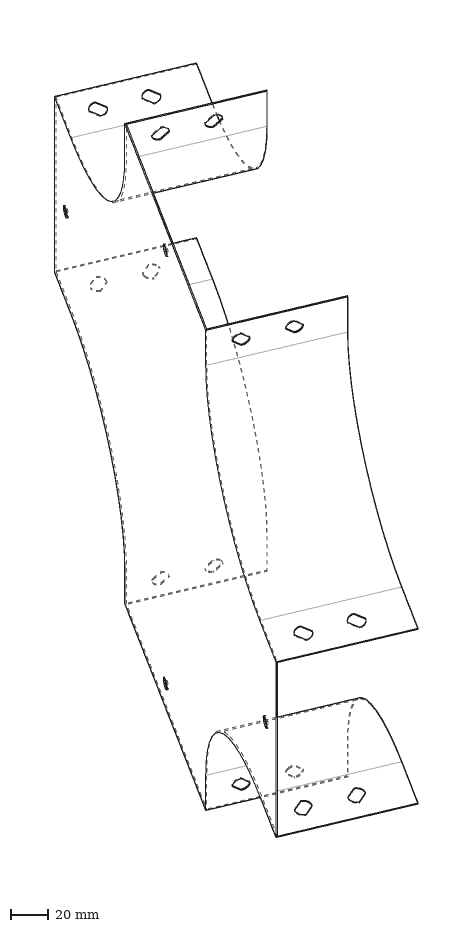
import cadquery as cq

SPAN = 410.0
DEPTH = 80.0
SHEET = 0.8

ARM_WIDTH = 150.0
TAB_LENGTH = 30.0

PLATE_HOLE_DIAMETER = 7.0
PLATE_HOLE_INSET = 20.0

TAB_HOLE_DIAMETER = 10.0
TAB_HOLE_FLATS = 7.0
TAB_HOLE_TILT = 45.0
TAB_HOLE_INSET = TAB_LENGTH / 2
TAB_HOLE_HEIGHTS = (20.0, 50.0)

TIP = SPAN / 2
WALL = ARM_WIDTH / 2
BEND_CENTRE = TIP - TAB_LENGTH
BEND_RADIUS = BEND_CENTRE - WALL
QUARTER_TURNS = (0, 90, 180, 270)


def turned(shape, angle):
    """Copy of a shape turned about the Y axis of the cross."""
    return shape.rotate((0, 0, 0), (0, 1, 0), angle)


def corner_block(growth=0.0):
    """Block filling the +X +Z corner between two arms, grown toward the middle of the cross."""
    wall = WALL - growth
    radius = BEND_RADIUS + growth
    arc_middle = BEND_CENTRE - radius * 0.5 ** 0.5
    return (
        cq.Workplane("XZ")
        .moveTo(TIP, wall)
        .lineTo(BEND_CENTRE, wall)
        .threePointArc((arc_middle, arc_middle), (wall, BEND_CENTRE))
        .lineTo(wall, TIP)
        .lineTo(TIP, TIP)
        .close()
        .extrude(-DEPTH)
    )


def base_plate():
    """Flat cross with one round hole near the tip of each arm."""
    plate = cq.Workplane("XZ").rect(SPAN, SPAN).extrude(-SHEET)
    corner = corner_block()
    hole = (
        cq.Workplane("XZ")
        .center(TIP - PLATE_HOLE_INSET, 0)
        .circle(PLATE_HOLE_DIAMETER / 2)
        .extrude(-SHEET)
    )
    for angle in QUARTER_TURNS:
        plate = plate.cut(turned(corner, angle))
        plate = plate.cut(turned(hole, angle))
    return plate


def tab_hole(plane, across, up, tilt):
    """Cutter for one tilted double-D hole, running from the given plane out past the wall."""
    place = cq.Workplane(plane).center(across, up).transformed(rotate=(0, 0, tilt))
    round_part = place.circle(TAB_HOLE_DIAMETER / 2).extrude(TIP)
    flat_part = place.rect(TAB_HOLE_DIAMETER, TAB_HOLE_FLATS).extrude(TIP)
    return round_part.intersect(flat_part)


def side_wall():
    """Curved wall around the +X +Z corner, with two double-D holes in each of its straight tabs."""
    wall = corner_block(SHEET).cut(corner_block())
    hole_place = TIP - TAB_HOLE_INSET
    for height in TAB_HOLE_HEIGHTS:
        wall = wall.cut(tab_hole("XY", hole_place, height, TAB_HOLE_TILT))
        wall = wall.cut(tab_hole("YZ", height, hole_place, -TAB_HOLE_TILT))
    return wall


def cross_piece():
    """Plate with the same side wall repeated in all four corners."""
    body = base_plate()
    wall = side_wall()
    for angle in QUARTER_TURNS:
        body = body.union(turned(wall, angle))
    return body


result = cross_piece()